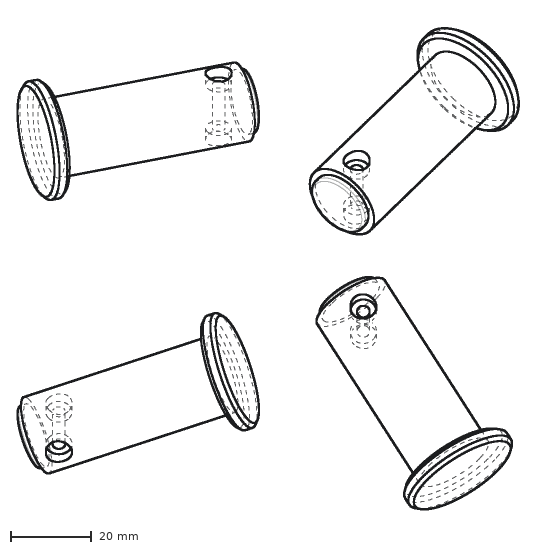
import cadquery as cq

length = 55.9
head_diameter = 30.0
head_thickness = 4.0
head_chamfer = 1.0
shank_diameter = 20.0
tip_diameter = 16.45
tip_length = 1.9
tip_fillet = 0.6

hole_diameter = 3.15
counterbore_diameter = 6.5
counterbore_floor_height = 6.5
hole_position = 47.95


def cylinder_along_y(diameter, start, end):
    """Cylinder on the pin axis between two Y positions."""
    return cq.Workplane("XZ", origin=(0, start, 0)).circle(diameter / 2).extrude(start - end)


def cylinder_along_z(diameter, bottom, top):
    """Cylinder at the cross hole between two Z positions."""
    return cq.Workplane("XY", origin=(0, hole_position, bottom)).circle(diameter / 2).extrude(top - bottom)


head = cylinder_along_y(head_diameter, 0, head_thickness).edges().chamfer(head_chamfer)

shank_end = length - tip_length
shank = cylinder_along_y(shank_diameter, head_thickness / 2, shank_end)
tip = cylinder_along_y(tip_diameter, shank_end - tip_length, length).edges(">Y").fillet(tip_fillet)
pin = head.union(shank).union(tip)

shank_radius = shank_diameter / 2
through_hole = cylinder_along_z(hole_diameter, -shank_radius, shank_radius)
upper_counterbore = cylinder_along_z(counterbore_diameter, counterbore_floor_height, shank_radius)
lower_counterbore = upper_counterbore.mirror("XY")

result = pin.cut(through_hole).cut(upper_counterbore).cut(lower_counterbore)